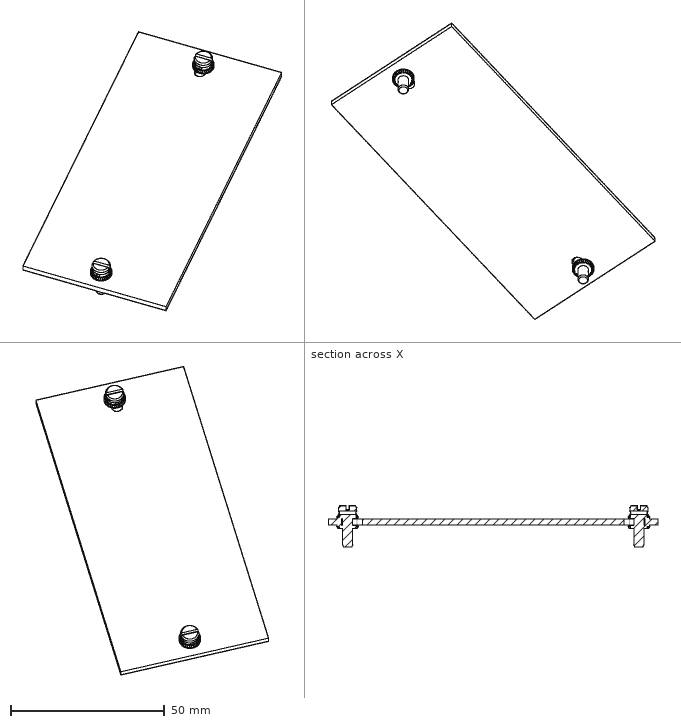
import cadquery as cq
import math

plate_width = 50.0
plate_length = 107.7
plate_thickness = 2.0

screw_edge_distance = 6.2
screw_y = plate_length / 2 - screw_edge_distance
shank_radius = 1.7
shank_length_below_plate = 7.2
tip_chamfer_height = 0.6
tip_chamfer_width = 0.3

hole_radius = 1.8
hole_travel = 3.0

washer_radius = 3.6
washer_rim_height = 0.5
washer_height = 1.2
washer_cone_width = 0.4
tooth_count = 16
notch_width = math.pi * washer_radius / tooth_count
notch_length = 0.8

head_radius = 3.0
head_height = 3.1
head_chamfer_height = 0.6
head_chamfer_width = 0.4
driver_slot_width = 1.0
driver_slot_depth = 1.3
groove_bottom = 0.1
groove_height = 1.3
groove_depth = 0.2
cross_hole_diameter = 1.1


def slotted_plate():
    plate = cq.Workplane("XY").box(plate_width, plate_length, plate_thickness, centered=(True, True, False))
    slot_length = hole_travel + 2 * hole_radius
    slot_y = screw_y - hole_travel / 2
    slots = (
        cq.Workplane("XY")
        .pushPoints([(0, slot_y), (0, -slot_y)])
        .slot2D(slot_length, 2 * hole_radius, angle=90)
        .extrude(plate_thickness)
    )
    return plate.cut(slots)


def toothed_washer():
    """Washer seated on z = 0, with a conical upper edge notched into teeth."""
    washer = (
        cq.Workplane("XZ")
        .lineTo(washer_radius, 0)
        .lineTo(washer_radius, washer_rim_height)
        .lineTo(washer_radius - washer_cone_width, washer_height)
        .lineTo(0, washer_height)
        .close()
        .revolve(360, (0, 0), (0, 1))
    )
    notches = (
        cq.Workplane("XY", origin=(0, 0, washer_rim_height))
        .polarArray(washer_radius, 0, 360, tooth_count)
        .rect(2 * notch_length, notch_width)
        .extrude(washer_height)
    )
    return washer.cut(notches)


def screw_head():
    """Grooved cylindrical head seated on z = 0, slotted along X and drilled through along Y."""
    groove_top = groove_bottom + groove_height
    groove_middle = groove_bottom + groove_height / 2
    head = (
        cq.Workplane("XZ")
        .lineTo(head_radius, 0)
        .lineTo(head_radius, groove_bottom)
        .threePointArc((head_radius - groove_depth, groove_middle), (head_radius, groove_top))
        .lineTo(head_radius, head_height - head_chamfer_height)
        .lineTo(head_radius - head_chamfer_width, head_height)
        .lineTo(0, head_height)
        .close()
        .revolve(360, (0, 0), (0, 1))
    )
    driver_slot = cq.Workplane("XY", origin=(0, 0, head_height - driver_slot_depth)).box(
        2 * head_radius, driver_slot_width, driver_slot_depth, centered=(True, True, False)
    )
    cross_hole = (
        cq.Workplane("XZ", origin=(0, 0, groove_middle))
        .circle(cross_hole_diameter / 2)
        .extrude(head_radius, both=True)
    )
    return head.cut(driver_slot).cut(cross_hole)


def screw_shank():
    """Shank from its chamfered tip up to the top of the plate."""
    return (
        cq.Workplane("XZ", origin=(0, 0, -shank_length_below_plate))
        .lineTo(shank_radius - tip_chamfer_width, 0)
        .lineTo(shank_radius, tip_chamfer_height)
        .lineTo(shank_radius, shank_length_below_plate + plate_thickness)
        .lineTo(0, shank_length_below_plate + plate_thickness)
        .close()
        .revolve(360, (0, 0), (0, 1))
    )


def screw_with_washers():
    upper_washer = toothed_washer().translate((0, 0, plate_thickness))
    lower_washer = toothed_washer().mirror("XY")
    head = screw_head().translate((0, 0, plate_thickness + washer_height))
    return screw_shank().union(upper_washer).union(lower_washer).union(head)


result = slotted_plate()
for side in (-1, 1):
    result = result.union(screw_with_washers().translate((0, side * screw_y, 0)))